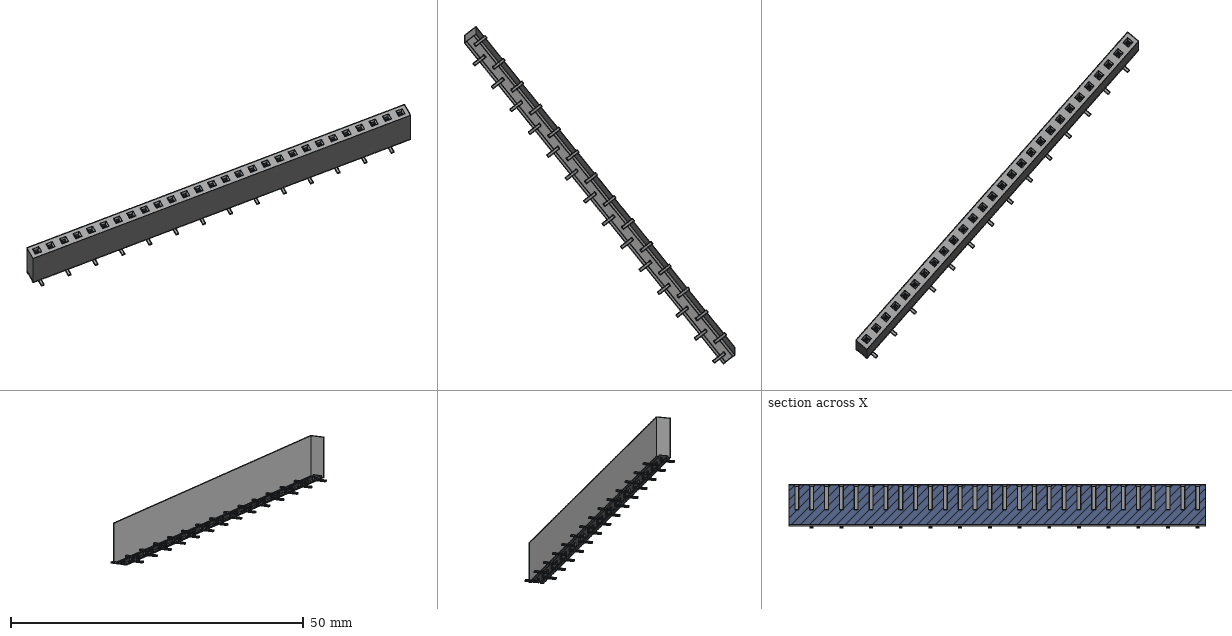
import cadquery as cq


strip_length = 71.3
body_width = 2.5
total_height = 7.4
standoff = 0.3
channel_width = 1.6
channel_depth = 0.27

contact_count = 28
end_margin = 1.35
pitch = (strip_length - 2 * end_margin) / (contact_count - 1)
contacts = [(0, (i - (contact_count - 1) / 2) * pitch) for i in range(contact_count)]

throat_size = 0.605
mouth_depth = 0.3
mouth_size = throat_size + 2 * mouth_depth
socket_depth = 4.3

leaf_width = 0.4
leaf_thickness = 0.2
leaf_gap = 0.15
leaf_recess = 0.7

lead_span = 4.65
lead_width = 0.5
lead_thickness = 0.2


def block(size_x, size_y, bottom, top):
    """Rectangular block centred on the Z axis, between two heights."""
    return cq.Workplane("XY").workplane(offset=bottom).rect(size_x, size_y).extrude(top - bottom)


def at_every_contact(shape):
    """Copies of a shape at all contact positions."""
    solid = shape.val()
    return cq.Workplane("XY").pushPoints(contacts).eachpoint(lambda place: solid.moved(place))


def make_housing():
    """Plain bar with a groove along its underside."""
    bar = block(body_width, strip_length, standoff, total_height)
    channel = block(channel_width, strip_length, standoff, standoff + channel_depth)
    return bar.cut(channel)


def make_socket():
    """Square blind hole with a tapered mouth and two spring leaves facing each other."""
    mouth = (
        cq.Workplane("XY")
        .workplane(offset=total_height)
        .rect(mouth_size, mouth_size)
        .workplane(offset=-mouth_depth)
        .rect(throat_size, throat_size)
        .loft(ruled=True)
    )
    floor = total_height - socket_depth
    socket = mouth.union(block(throat_size, throat_size, floor, total_height - mouth_depth))
    leaf = block(leaf_width, leaf_thickness, floor, total_height - leaf_recess)
    leaf_offset = (leaf_gap + leaf_thickness) / 2
    for side in (1, -1):
        socket = socket.cut(leaf.translate((0, side * leaf_offset, 0)))
    return socket


def make_lead(side):
    """Upright post with a flat foot towards +X (side 1) or -X (side -1)."""
    post = block(lead_thickness, lead_width, 0, standoff + channel_depth)
    foot_length = (lead_span + lead_thickness) / 2
    foot_middle = side * (lead_span - foot_length) / 2
    foot = block(foot_length, lead_width, 0, lead_thickness)
    return post.union(foot.translate((foot_middle, 0, 0)))


result = make_housing().cut(at_every_contact(make_socket()))
right_lead = make_lead(1)
left_lead = make_lead(-1)
for number, (x, y) in enumerate(contacts):
    lead = right_lead if number % 2 == 0 else left_lead
    result = result.union(lead.translate((x, y, 0)))